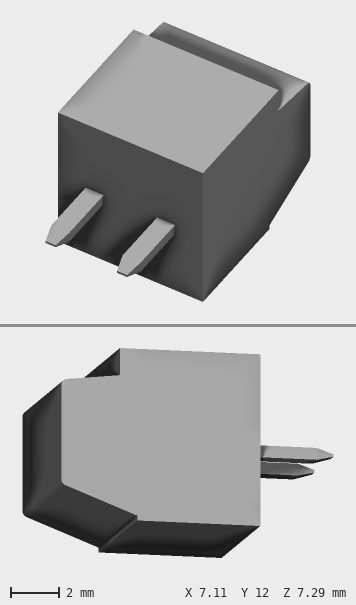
import cadquery as cq

width = 7.11
height = 7.29
total_length = 12.01
pin_length = 3.5
housing_depth = total_length - pin_length

upper_step_depth = 6.0
upper_step_drop = 1.15
lower_step_depth = 5.26
lower_step_rise = 0.2
nose_bottom = 1.43
nose_top = 5.85
nose_radius = 0.26

pin_pitch = 3.5
pin_width = 0.88
pin_thickness = 0.5
pin_height = 3.45
taper_length = 0.76
tip_width = 0.49
tip_thickness = 0.11


def make_housing():
    """Extrude the stepped side profile across the width and round the nose edges."""
    profile = [
        (0, 0),
        (lower_step_depth, 0),
        (lower_step_depth, lower_step_rise),
        (housing_depth, nose_bottom),
        (housing_depth, nose_top),
        (upper_step_depth, height - upper_step_drop),
        (upper_step_depth, height),
        (0, height),
    ]
    housing = cq.Workplane("YZ").polyline(profile).close().extrude(width / 2, both=True)
    return housing.faces(">Y").edges("|X").fillet(nose_radius)


def make_pin(x):
    """Make a straight rectangular pin with a tapered tip, pointing toward -Y."""
    shank_length = pin_length - taper_length
    base = cq.Workplane("XZ", origin=(x, 0, pin_height))
    shank = base.rect(pin_width, pin_thickness).extrude(shank_length)
    taper = (
        base.workplane(offset=shank_length)
        .rect(pin_width, pin_thickness)
        .workplane(offset=taper_length)
        .rect(tip_width, tip_thickness)
        .loft(ruled=True)
    )
    return shank.union(taper)


result = make_housing()
for side in (-1, 1):
    result = result.union(make_pin(side * pin_pitch / 2))